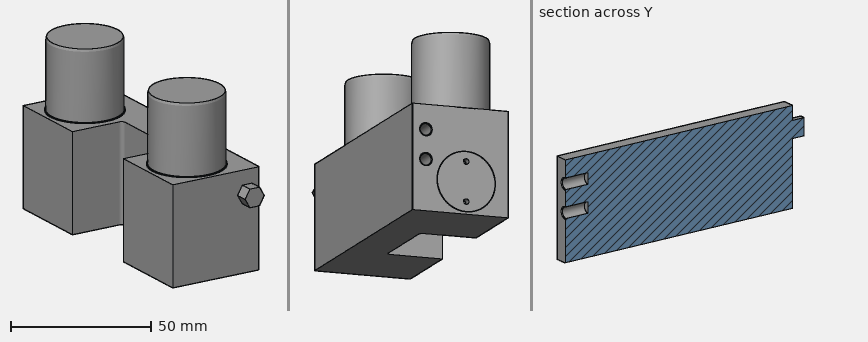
import cadquery as cq
import math

housing_length = 100.1
housing_depth = 36.5
housing_height = 39.0
slot_width = 34.0
slot_depth = 21.2
slot_corner_radius = 1.5
back_edge_chamfer = 0.3

column_inset = 16.0
column_height = 28.0
column_radius = 14.0
foot_radius = 14.4
foot_height = 0.3
tip_taper_height = 1.0
tip_taper_inset = 0.3

port_from_back = 5.1
port_from_top = 9.1
port_spacing = 10.9
port_diameter = 4.2
port_mouth_diameter = 4.8
port_depth = 10.0

cover_diameter = 22.0
cover_groove_width = 0.1
cover_groove_depth = 0.2
cover_height = 12.0
pin_hole_spacing = 14.7
pin_hole_diameter = 2.0
pin_hole_depth = 3.0

hex_across_flats = 7.0
hex_length = 5.0

port_y = housing_depth - port_from_back
upper_port_z = housing_height - port_from_top


def x_cylinder(diameter, length, y, z):
    """Cylinder running in +X from the left end face, on the axis at y, z."""
    return cq.Workplane("YZ").center(y, z).circle(diameter / 2).extrude(length)


def make_block():
    """Rectangular block with chamfered back edges and a slot with rounded inner corners."""
    block = cq.Workplane("XY").box(housing_length, housing_depth, housing_height, centered=False)
    block = block.edges("|Z and >Y").chamfer(back_edge_chamfer)
    slot = (
        cq.Workplane("XY")
        .center(housing_length / 2, slot_depth / 2)
        .rect(slot_width, slot_depth)
        .extrude(housing_height)
        .edges("|Z and >Y")
        .fillet(slot_corner_radius)
    )
    return block.cut(slot)


def make_port(z):
    """Blind port hole with a 45 degree chamfer at its mouth, as a cutting tool."""
    mouth_radius = port_mouth_diameter / 2
    port_radius = port_diameter / 2
    profile = [
        (0, 0),
        (0, mouth_radius),
        (mouth_radius - port_radius, port_radius),
        (port_depth, port_radius),
        (port_depth, 0),
    ]
    return (
        cq.Workplane("XY", origin=(0, port_y, z))
        .polyline(profile)
        .close()
        .revolve(360, (0, 0), (1, 0))
    )


def make_hex_stub():
    """Hexagonal stub with flats at its top and bottom."""
    across_corners = hex_across_flats / math.cos(math.pi / 6)
    return (
        cq.Workplane("YZ", origin=(housing_length, port_y, upper_port_z))
        .polygon(6, across_corners)
        .extrude(hex_length)
    )


def make_cover_groove():
    """Hairline ring around the cover."""
    inside = x_cylinder(cover_diameter, cover_groove_depth, column_inset, cover_height)
    outside_diameter = cover_diameter + 2 * cover_groove_width
    return x_cylinder(outside_diameter, cover_groove_depth, column_inset, cover_height).cut(inside)


def make_housing():
    """Block with its hexagonal stub, ports, cover groove and pin holes."""
    body = make_block().union(make_hex_stub())
    for z in (upper_port_z, upper_port_z - port_spacing):
        body = body.cut(make_port(z))
    body = body.cut(make_cover_groove())
    for side in (-1, 1):
        z = cover_height + side * pin_hole_spacing / 2
        body = body.cut(x_cylinder(pin_hole_diameter, pin_hole_depth, column_inset, z))
    return body.solids()


def make_column(x):
    """Round column with a thin wider foot and a tapered tip, standing on the top face."""
    profile = [
        (0, 0),
        (foot_radius, 0),
        (foot_radius, foot_height),
        (column_radius, foot_height),
        (column_radius, column_height - tip_taper_height),
        (column_radius - tip_taper_inset, column_height),
        (0, column_height),
    ]
    return (
        cq.Workplane("XZ", origin=(x, column_inset, housing_height))
        .polyline(profile)
        .close()
        .revolve(360, (0, 0), (0, 1))
    )


housing = make_housing()
columns = [make_column(x) for x in (column_inset, housing_length - column_inset)]

result = cq.Compound.makeCompound([housing.val(), *[column.val() for column in columns]])